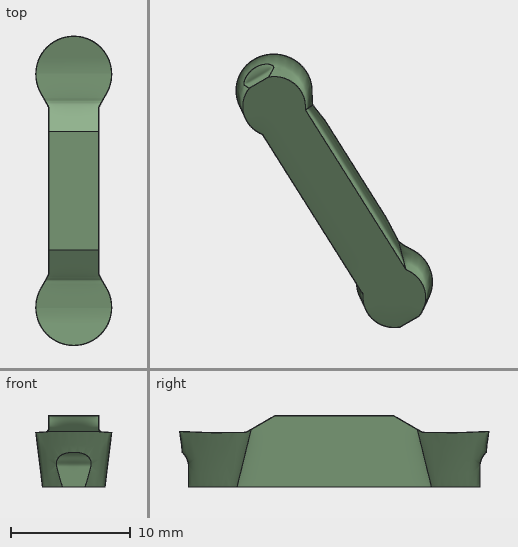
import math

import cadquery as cq


overall_length = 25.83
overall_height = 5.97
head_diameter = 6.35
body_width = 4.18
clearance_angle = 7.0
neck_angle = 30.0

crest_half_length = 4.95
ramp_angle = 30.0
ramp_foot = 7.23
land_inner = 7.51
land_outer = 7.74
floor_outer = 9.78
rim_inner = 11.03
floor_angle = 0.7
rim_angle = 2.3

relief_plane = 12.17
relief_flat_height = 1.72
relief_radius = 1.6

cutter_margin = 1.0

half_length = overall_length / 2
head_radius = head_diameter / 2
ramp_foot_height = overall_height - (ramp_foot - crest_half_length) * math.tan(math.radians(ramp_angle))
ramp_blend_radius = (land_inner - ramp_foot) / math.sin(math.radians(ramp_angle))
land_height = ramp_foot_height - ramp_blend_radius * (1 - math.cos(math.radians(ramp_angle)))
floor_height = land_height - (floor_outer - land_outer) * math.tan(math.radians(floor_angle))
rim_blend_radius = (rim_inner - floor_outer) / math.sin(math.radians(rim_angle))
rim_inner_height = floor_height + rim_blend_radius * (1 - math.cos(math.radians(rim_angle)))
rim_height = rim_inner_height + (half_length - rim_inner) * math.tan(math.radians(rim_angle))


def head_radius_at(height):
    """Radius of the conical head, full size at the head floor."""
    return head_radius - (floor_height - height) * math.tan(math.radians(clearance_angle))


head_centre = half_length - head_radius_at(rim_height)


def neck_outline(height):
    """Wedge tangent to the head cone at this height, pointing to the middle of the insert."""
    radius = head_radius_at(height)
    angle = math.radians(neck_angle)
    tangent_x = radius * math.cos(angle)
    tangent_y = head_centre - radius * math.sin(angle)
    tip_y = head_centre - radius / math.sin(angle)
    return cq.Wire.makePolygon(
        [
            cq.Vector(-tangent_x, tangent_y, height),
            cq.Vector(0, tip_y, height),
            cq.Vector(tangent_x, tangent_y, height),
            cq.Vector(0, head_centre, height),
        ],
        close=True,
    )


def make_head():
    """Tapered round head at the +Y end with its two neck flats."""
    cone = cq.Solid.makeCone(
        head_radius_at(0), head_radius_at(overall_height), overall_height, pnt=cq.Vector(0, head_centre, 0)
    )
    neck = cq.Solid.makeLoft([neck_outline(0), neck_outline(overall_height)], True)
    return cq.Workplane(cone).union(cq.Workplane(neck))


def cut_relief(head):
    """Cut the flat end face and the concave arc that runs out above it."""
    outer_y = half_length + relief_radius
    arc_top = relief_flat_height + relief_radius
    arc_middle_y = relief_plane + relief_radius * (1 - math.cos(math.pi / 4))
    arc_middle_z = relief_flat_height + relief_radius * math.sin(math.pi / 4)
    cutter = (
        cq.Workplane("YZ")
        .moveTo(relief_plane, 0)
        .lineTo(relief_plane, relief_flat_height)
        .threePointArc((arc_middle_y, arc_middle_z), (relief_plane + relief_radius, arc_top))
        .lineTo(outer_y, arc_top)
        .lineTo(outer_y, 0)
        .close()
        .extrude(head_radius, both=True)
    )
    return head.cut(cutter)


def ramp_blend_middle():
    """Halfway point of the concave arc between land and ramp."""
    half_angle = math.radians(ramp_angle / 2)
    y = land_inner - ramp_blend_radius * math.sin(half_angle)
    z = land_height + ramp_blend_radius * (1 - math.cos(half_angle))
    return y, z


def rim_blend_middle():
    """Halfway point of the shallow concave arc between head floor and rim face."""
    half_angle = math.radians(rim_angle / 2)
    y = floor_outer + rim_blend_radius * math.sin(half_angle)
    z = floor_height + rim_blend_radius * (1 - math.cos(half_angle))
    return y, z


def make_top_cutter():
    """Everything above the top face at the +Y end, from the crest edge out past the cutting edge."""
    outer_y = half_length + cutter_margin
    outer_height = rim_height + cutter_margin * math.tan(math.radians(rim_angle))
    cutter_top = overall_height + cutter_margin
    return (
        cq.Workplane("YZ")
        .moveTo(crest_half_length, overall_height)
        .lineTo(ramp_foot, ramp_foot_height)
        .threePointArc(ramp_blend_middle(), (land_inner, land_height))
        .lineTo(land_outer, land_height)
        .lineTo(floor_outer, floor_height)
        .threePointArc(rim_blend_middle(), (rim_inner, rim_inner_height))
        .lineTo(outer_y, outer_height)
        .lineTo(outer_y, cutter_top)
        .lineTo(crest_half_length, cutter_top)
        .close()
        .extrude(head_diameter, both=True)
    )


def at_both_ends(shape):
    """The +Y end shape and its copy turned half a revolution to the -Y end."""
    return [shape, shape.rotate((0, 0, 0), (0, 0, 1), 180)]


result = cq.Workplane("XY").box(body_width, 2 * head_centre, overall_height, centered=(True, True, False))
for head in at_both_ends(cut_relief(make_head())):
    result = result.union(head)
for top_cutter in at_both_ends(make_top_cutter()):
    result = result.cut(top_cutter)